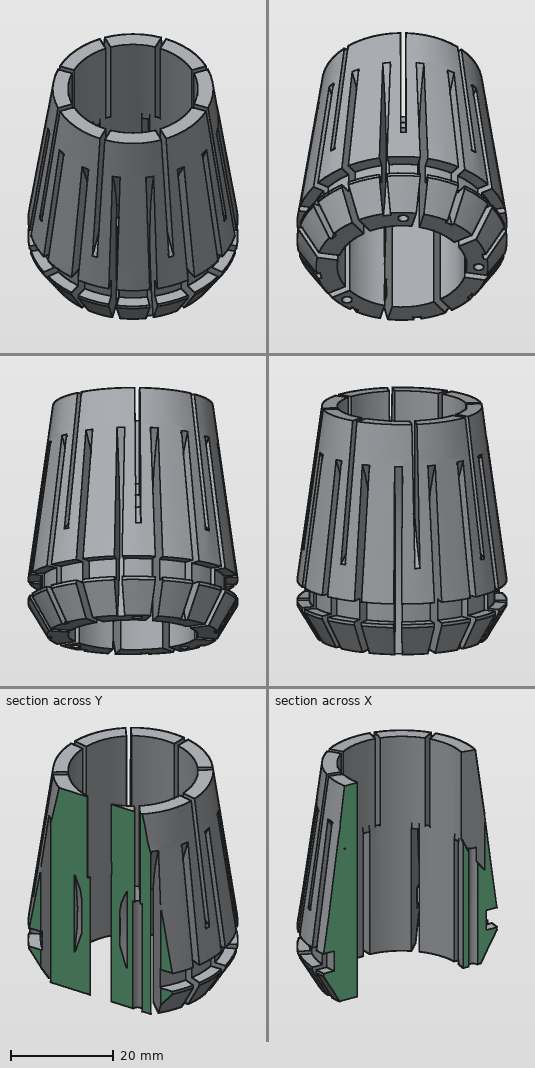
import cadquery as cq
import math

height = 46.0
rim_radius = 20.5
top_radius = 15.7
nose_radius = 16.8
bore_radius = 12.7

rim_bottom = 6.3
groove_bottom = 6.95
groove_top = 11.1
groove_radius = 18.12

saw_radius = 30.0

lower_slot_count = 16
lower_slot_pitch = 360 / lower_slot_count
lower_slot_width = 1.5
lower_slot_inner_z = 26.3
lower_slot_outer_z = 37.8
blind_floor_bottom_radius = 16.15
blind_floor_middle_radius = 13.0

upper_slot_count = 8
upper_slot_pitch = 360 / upper_slot_count
upper_slot_start = 1.5 * lower_slot_pitch
upper_slot_width = 1.0
upper_slot_inner_z = 27.35
upper_slot_outer_z = 17.95

hole_diameter = 2.0
hole_depth = 25.0
hole_circle_radius = 15.0
holed_slots = (0, 2, 5)

clearance = 2.3


def make_body():
    """Revolve the tapered sleeve with its groove and conical nose."""
    outline = [
        (bore_radius, 0),
        (nose_radius, 0),
        (rim_radius, rim_bottom),
        (rim_radius, groove_bottom),
        (groove_radius, groove_bottom),
        (groove_radius, groove_top),
        (rim_radius, groove_top),
        (top_radius, height),
        (bore_radius, height),
    ]
    return cq.Workplane("XZ").polyline(outline).close().revolve(360, (0, 0), (0, 1))


def cone_radius(z):
    """Radius of the long taper at height z."""
    taper = (rim_radius - top_radius) / (height - groove_top)
    return rim_radius - (z - groove_top) * taper


def run_out_middle(inner, outer):
    """Middle of the saw arc, bulging from its chord towards the bore."""
    (r1, z1), (r2, z2) = inner, outer
    chord = math.hypot(r2 - r1, z2 - z1)
    bulge = saw_radius - math.sqrt(saw_radius**2 - (chord / 2) ** 2)
    return (
        (r1 + r2) / 2 - bulge * abs(z2 - z1) / chord,
        (z1 + z2) / 2 + bulge * math.copysign(r2 - r1, z2 - z1) / chord,
    )


def through_slot_cutter(width, inner_z, outer_z, open_z):
    """Slot along +X through to the bore, open at open_z and closed by the saw arc."""
    inner = (bore_radius, inner_z)
    outer = (cone_radius(outer_z), outer_z)
    inside = bore_radius - clearance
    outside = rim_radius + clearance
    return (
        cq.Workplane("XZ")
        .moveTo(inside, inner_z)
        .lineTo(*inner)
        .threePointArc(run_out_middle(inner, outer), outer)
        .lineTo(outside, outer_z)
        .lineTo(outside, open_z)
        .lineTo(inside, open_z)
        .close()
        .extrude(width / 2, both=True)
    )


def blind_slot_cutter():
    """Lower slot along +X whose arched floor stays clear of the bore."""
    outside = rim_radius + clearance
    return (
        cq.Workplane("XZ")
        .moveTo(blind_floor_bottom_radius, 0)
        .threePointArc(
            (blind_floor_middle_radius, lower_slot_outer_z / 2),
            (cone_radius(lower_slot_outer_z), lower_slot_outer_z),
        )
        .lineTo(outside, lower_slot_outer_z)
        .lineTo(outside, 0)
        .close()
        .extrude(lower_slot_width / 2, both=True)
    )


def upper_slot_angle(index):
    return upper_slot_start + index * upper_slot_pitch


def about_axis(shape, angle):
    return shape.rotate((0, 0, 0), (0, 0, 1), angle)


result = make_body()

lower_through = through_slot_cutter(lower_slot_width, lower_slot_inner_z, lower_slot_outer_z, -clearance)
lower_blind = blind_slot_cutter()
for index in range(lower_slot_count):
    cutter = lower_through if index % 2 == 0 else lower_blind
    result = result.cut(about_axis(cutter, index * lower_slot_pitch))

upper_cutter = through_slot_cutter(
    upper_slot_width, upper_slot_inner_z, upper_slot_outer_z, height + clearance
)
for index in range(upper_slot_count):
    result = result.cut(about_axis(upper_cutter, upper_slot_angle(index)))

hole = cq.Workplane("XY").center(hole_circle_radius, 0).circle(hole_diameter / 2).extrude(hole_depth)
for index in holed_slots:
    result = result.cut(about_axis(hole, upper_slot_angle(index)))